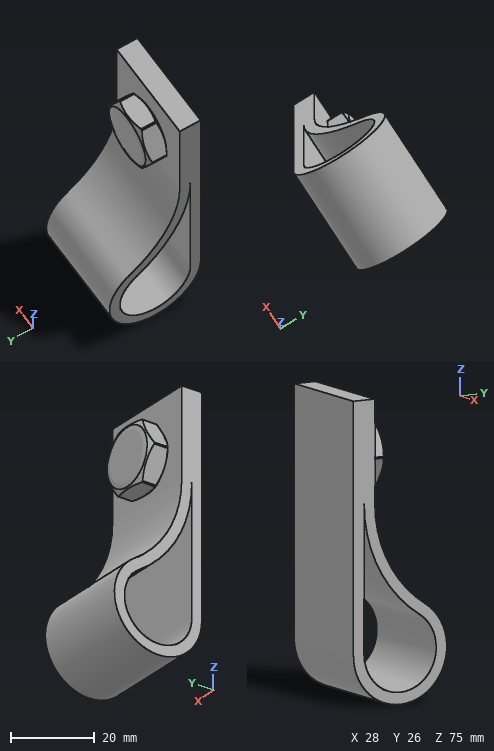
import cadquery as cq
import math

width = 28.0
height = 75.0
depth = 26.0
strap_thickness = 3.0
bend_radius = 30.45

head_sides = 6
head_across_flats = 16.95
head_across_corners = 19.35
head_height = 5.9
head_drop = 15.3
head_face_diameter = 16.1
head_seat_diameter = 16.1
head_crown_diameter = 13.5
head_crown_height = 0.2
chamfer_angle = 30.0

loop_radius = depth / 2
clamp_thickness = 2 * strap_thickness

bend_y = clamp_thickness + bend_radius
bend_rise = math.sqrt((loop_radius + bend_radius) ** 2 - (bend_y - loop_radius) ** 2)
bend_z = loop_radius + bend_rise
bend_angle = math.atan2(bend_rise, bend_y - loop_radius)


def on_loop(radius, angle):
    """Point (Y, Z) on a circle about the loop centre."""
    return (loop_radius + radius * math.cos(angle), loop_radius + radius * math.sin(angle))


def on_bend(radius, angle):
    """Point (Y, Z) on a circle about the bend centre, angle measured from -Y towards -Z."""
    return (bend_y - radius * math.cos(angle), bend_z - radius * math.sin(angle))


def teardrop(front_y, top_z, back_y):
    """Solid with a straight front, a round loop, a concave bend and a flat back up to top_z."""
    radius = loop_radius - front_y
    bend = bend_y - back_y
    loop_middle = on_loop(radius, (bend_angle - math.pi) / 2)
    outline = (
        cq.Workplane("YZ", origin=(-width / 2, 0, 0))
        .moveTo(front_y, top_z)
        .lineTo(front_y, loop_radius)
        .threePointArc(loop_middle, on_loop(radius, bend_angle))
        .threePointArc(on_bend(bend, bend_angle / 2), (back_y, bend_z))
    )
    if back_y > front_y:
        outline = outline.lineTo(back_y, top_z)
    return outline.close().extrude(width)


def make_strap():
    """Strap folded into a loop, with its two ends clamped flat together."""
    outside = teardrop(0, height, clamp_thickness)
    inside = teardrop(strap_thickness, bend_z, strap_thickness)
    return outside.cut(inside)


def make_bolt_head():
    """Hexagon head on the back face, chamfered at both ends, its end face slightly crowned."""
    corner_diameter = head_across_flats / math.cos(math.pi / head_sides)
    crown_top = head_height + head_crown_height
    hexagon = cq.Workplane("XY").polygon(head_sides, corner_diameter).extrude(crown_top)

    corner = head_across_corners / 2
    face = head_face_diameter / 2
    seat = head_seat_diameter / 2
    slope = math.tan(math.radians(chamfer_angle))
    envelope = (
        cq.Workplane("XZ")
        .moveTo(0, 0)
        .lineTo(seat, 0)
        .lineTo(corner, (corner - seat) * slope)
        .lineTo(corner, head_height - (corner - face) * slope)
        .lineTo(face, head_height)
        .lineTo(head_crown_diameter / 2, crown_top)
        .lineTo(0, crown_top)
        .close()
        .revolve(360, (0, 0, 0), (0, 1, 0))
    )
    head = hexagon.intersect(envelope).rotate((0, 0, 0), (1, 0, 0), -90)
    return head.translate((0, clamp_thickness, height - head_drop))


result = make_strap().union(make_bolt_head())